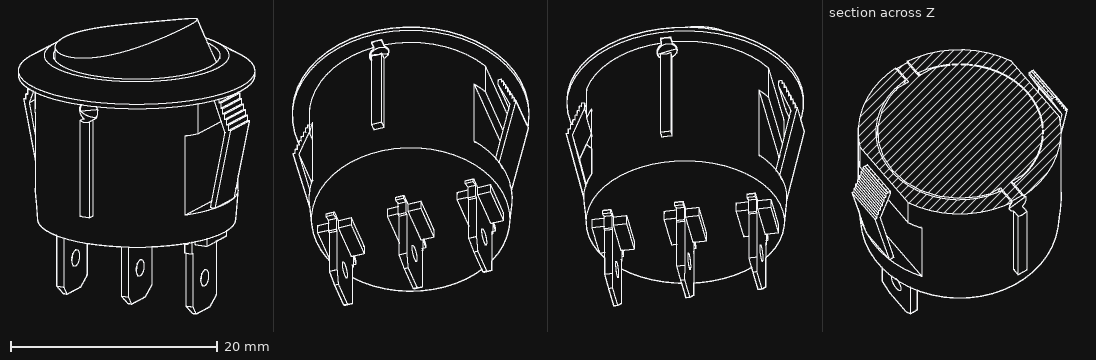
import cadquery as cq
import math


bezel_radius = 11.5
bezel_rim_height = 0.45
bezel_height = 2.0
bezel_top_radius = 8.98
opening_radius = 16.2 / 2
opening_floor_z = -2.3

housing_radius = 9.85
base_top_z = -11.66
base_bottom_z = -14.58
base_bottom_radius = 9.63

upper_flat_x = 8.98
lower_flat_x = 8.25
flat_step_z = -3.6
flat_bottom_z = -11.6

rib_width = 1.03
rib_outer_y = 10.6

pivot_z = -1.03
tilt = 12.6
rocker_radius = 8.2
rocker_edge_height = 5.4
rocker_skirt_depth = 4.3
rocker_skirt_radius = 8.05
rocker_flat_y = 7.78
pin_diameter = 1.9
pin_hole_diameter = 2.0
pin_end_y = 9.72

clip_half_width = 1.95
clip_top_outer_x = 9.9
clip_top_inner_x = 9.58
clip_knee_z = -0.65
clip_elbow_outer_x = 11.4
clip_elbow_inner_x = 10.78
clip_elbow_inner_z = -3.8
clip_foot_outer_x = 9.7
clip_foot_inner_x = 9.18
clip_teeth = 7
clip_first_tooth_z = -0.35
clip_last_tooth_z = -3.52

terminal_spacing = 7.12
terminal_thickness = 0.8
terminal_end_z = -22.81
terminal_tip_z = -21.8
terminal_tip_thickness = 0.4
blade_half_width = 2.4
blade_tip_half_width = 1.4
shoulder_half_width = 2.65
shoulder_z = -16.38
terminal_hole_diameter = 1.6
terminal_hole_z = -19.47
barb_half_width = 3.5
barb_top_half_width = 3.25
barb_side_z = -14.8
barb_end_z = -15.18
barb_root_z = -14.87

collar_length = 3.43
collar_width = 4.05
collar_bottom_z = -15.58


def box(x_min, x_max, y_min, y_max, z_min, z_max):
    size = (x_max - x_min, y_max - y_min, z_max - z_min)
    return cq.Workplane("XY").box(*size, centered=False).translate((x_min, y_min, z_min))


def cylinder_along_y(diameter, half_length):
    """Cylinder on the pivot axis."""
    return (
        cq.Workplane("XZ", origin=(0, 0, pivot_z))
        .circle(diameter / 2)
        .extrude(half_length, both=True)
    )


def make_housing():
    profile = [
        (0, base_bottom_z),
        (base_bottom_radius, base_bottom_z),
        (housing_radius, base_top_z),
        (housing_radius, 0),
        (bezel_radius, 0),
        (bezel_radius, bezel_rim_height),
        (bezel_top_radius, bezel_height),
        (opening_radius, bezel_height),
        (opening_radius, opening_floor_z),
        (0, opening_floor_z),
    ]
    housing = cq.Workplane("XZ").polyline(profile).close().revolve()
    reach = bezel_radius
    for flat_x, z_min, z_max in (
        (upper_flat_x, flat_step_z, 0),
        (lower_flat_x, flat_bottom_z, flat_step_z),
    ):
        housing = housing.cut(box(flat_x, reach, -reach, reach, z_min, z_max))
        housing = housing.cut(box(-reach, -flat_x, -reach, reach, z_min, z_max))
    rib_root_y = (opening_radius + housing_radius) / 2
    for y_min, y_max in ((rib_root_y, rib_outer_y), (-rib_outer_y, -rib_root_y)):
        rib = box(-rib_width / 2, rib_width / 2, y_min, y_max, flat_bottom_z, 0)
        housing = housing.union(rib)
    pivot_hole = cylinder_along_y(pin_hole_diameter, rib_outer_y)
    return housing.cut(pivot_hole)


def make_rocker():
    slope = math.tan(math.radians(tilt))
    edge_radius = rocker_radius - rocker_edge_height * slope
    bottom_radius = rocker_radius + rocker_skirt_depth * slope
    cone = (
        cq.Workplane("XZ")
        .polyline([
            (0, -rocker_skirt_depth),
            (bottom_radius, -rocker_skirt_depth),
            (edge_radius, rocker_edge_height),
            (0, rocker_edge_height),
        ])
        .close()
        .revolve()
    )
    dish_radius = edge_radius / math.sin(math.radians(tilt))
    dish_center_height = rocker_edge_height + dish_radius * math.cos(math.radians(tilt))
    dish = (
        cq.Workplane("XZ", origin=(0, 0, dish_center_height))
        .circle(dish_radius)
        .extrude(rocker_radius, both=True)
    )
    tilted = cone.cut(dish).rotate((0, 0, 0), (0, 1, 0), -tilt).translate((0, 0, pivot_z))
    rocker_limit = (
        cq.Workplane("XY", origin=(0, 0, opening_floor_z))
        .circle(rocker_skirt_radius)
        .extrude(2 * rocker_radius)
    )
    between_flats = box(
        -bezel_radius, bezel_radius,
        -rocker_flat_y, rocker_flat_y,
        opening_floor_z, 2 * rocker_radius,
    )
    return tilted.intersect(rocker_limit).intersect(between_flats)


def make_pivot_pins():
    """Pins whose lower halves are bevelled at 45 degrees at both ends."""
    pin_radius = pin_diameter / 2
    pins = cylinder_along_y(pin_diameter, pin_end_y)
    for side in (1, -1):
        bevel = (
            cq.Workplane("YZ")
            .polyline([
                (side * pin_end_y, 0),
                (side * pin_end_y, -pin_radius),
                (side * (pin_end_y - pin_radius), -pin_radius),
            ])
            .close()
            .extrude(pin_radius, both=True)
            .rotate((0, 0, 0), (0, 1, 0), -tilt)
            .translate((0, 0, pivot_z))
        )
        pins = pins.cut(bevel)
    return pins


def make_clip():
    """Spring clip on the +X side, with a toothed upper arm."""
    tooth_depth = (clip_elbow_outer_x - clip_top_outer_x) / clip_teeth
    tooth_pitch = (clip_first_tooth_z - clip_last_tooth_z) / (clip_teeth - 1)
    outline = [(clip_top_inner_x, 0), (clip_top_outer_x, 0)]
    for tooth in range(clip_teeth):
        tooth_z = clip_first_tooth_z - tooth * tooth_pitch
        inner_x = clip_top_outer_x + tooth * tooth_depth
        outline.append((inner_x, tooth_z))
        outline.append((inner_x + tooth_depth, tooth_z))
    outline += [
        (clip_foot_outer_x, flat_bottom_z),
        (clip_foot_inner_x, flat_bottom_z),
        (clip_elbow_inner_x, clip_elbow_inner_z),
        (clip_top_inner_x, clip_knee_z),
    ]
    return cq.Workplane("XZ").polyline(outline).close().extrude(clip_half_width, both=True)


def make_terminal():
    """Blade terminal with barbs, centred on X = 0."""
    half_outline = [
        (barb_top_half_width, base_bottom_z),
        (barb_half_width, barb_side_z),
        (barb_half_width, barb_end_z),
        (shoulder_half_width, barb_root_z),
        (shoulder_half_width, shoulder_z),
        (blade_half_width, shoulder_z),
        (blade_half_width, terminal_tip_z),
        (blade_tip_half_width, terminal_end_z),
    ]
    other_half = [(-y, z) for y, z in reversed(half_outline)]
    blade = (
        cq.Workplane("YZ")
        .polyline(half_outline + other_half)
        .close()
        .extrude(terminal_thickness / 2, both=True)
    )
    hole = (
        cq.Workplane("YZ", origin=(0, 0, terminal_hole_z))
        .circle(terminal_hole_diameter / 2)
        .extrude(terminal_thickness, both=True)
    )
    blade = blade.cut(hole)
    for side in (1, -1):
        tip_relief = (
            cq.Workplane("XZ")
            .polyline([
                (side * terminal_thickness / 2, terminal_tip_z),
                (side * terminal_thickness / 2, terminal_end_z),
                (side * terminal_tip_thickness / 2, terminal_end_z),
            ])
            .close()
            .extrude(blade_half_width, both=True)
        )
        blade = blade.cut(tip_relief)
    collar = box(
        -collar_length / 2, collar_length / 2,
        -collar_width / 2, collar_width / 2,
        collar_bottom_z, base_bottom_z,
    )
    return blade.union(collar)


result = make_housing().union(make_rocker()).union(make_pivot_pins())

clip = make_clip()
result = result.union(clip).union(clip.mirror("YZ"))

terminal = make_terminal()
for position in (-1, 0, 1):
    result = result.union(terminal.translate((position * terminal_spacing, 0, 0)))